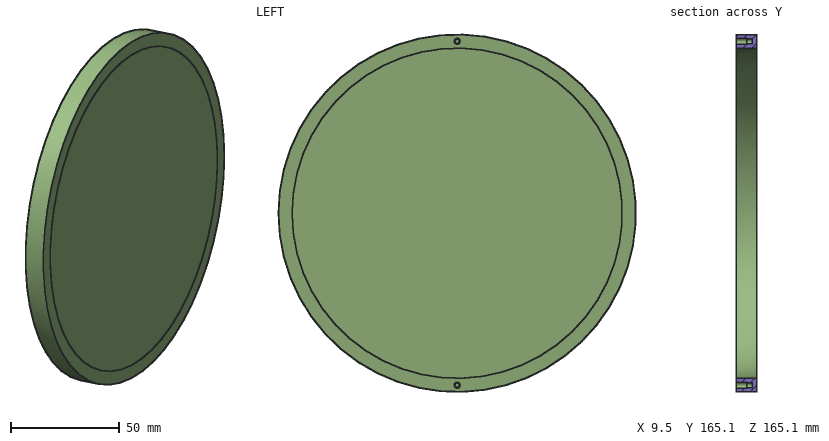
import cadquery as cq

outer_diameter = 165.1
ring_depth = 9.5
opening_diameter = 152.4
plate_thickness = 0.05

mouth_diameter = 2.6
mouth_depth = 5.0
narrow_diameter = 2.1
hole_depth = 7.5

front_x = -ring_depth / 2
back_x = ring_depth / 2
hole_offset = (outer_diameter + opening_diameter) / 4


def cylinder(diameter, start_x, length, z=0.0):
    """A cylinder along +X, starting at start_x, with its axis at height z."""
    return (
        cq.Workplane("YZ", origin=(start_x, 0, z))
        .circle(diameter / 2)
        .extrude(length)
    )


def stepped_hole(z):
    """Cutter for one stepped hole, entering the front face at height z."""
    mouth = cylinder(mouth_diameter, front_x, mouth_depth, z)
    return mouth.union(cylinder(narrow_diameter, front_x, hole_depth, z))


def make_ring():
    """Flat ring with a stepped hole in its front face at the top and the bottom."""
    body = cylinder(outer_diameter, front_x, ring_depth)
    body = body.cut(cylinder(opening_diameter, front_x, ring_depth))
    for z in (hole_offset, -hole_offset):
        body = body.cut(stepped_hole(z))
    return body


def make_plate():
    """Thin round plate that closes the ring opening, flush with the back face."""
    return cylinder(opening_diameter, back_x - plate_thickness, plate_thickness)


ring = make_ring()
plate = make_plate()

result = cq.Compound.makeCompound([ring.val(), plate.val()])